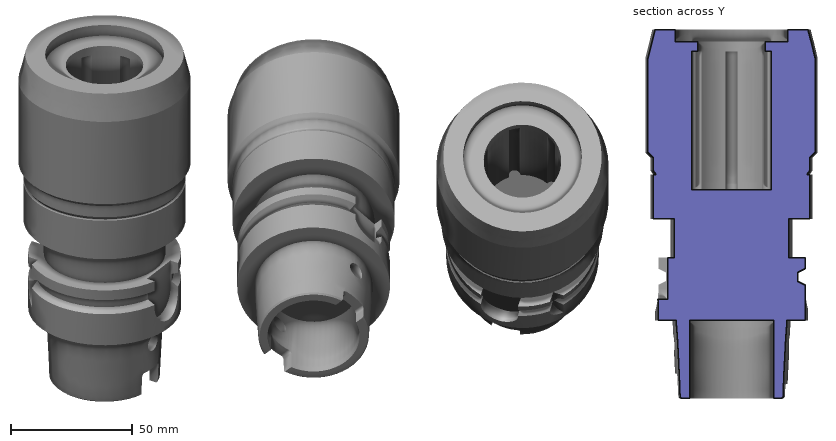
import cadquery as cq

total_length = 152.0
shank_length = 32.0
flange_top = 58.0
body_bottom = 74.0
nut_bottom = 99.3
nose_length = 11.7

nut_diameter = 71.0
nose_diameter = 65.2
body_diameter = 66.9
nut_radius = nut_diameter / 2
body_radius = body_diameter / 2
nut_bottom_chamfer = nut_radius - body_radius
body_groove_z = 92.3
body_groove_width = 1.7
body_groove_depth = 1.2

neck_radius = 25.1
flange_radius = 31.5
v_groove_z = 50.2
v_groove_width = 6.7
v_groove_floor_width = 3.5
v_groove_floor_radius = 28.5

taper_large_radius = 24.3
taper_small_radius = 22.8
shank_end_chamfer = 0.6
shank_bore_radius = 19.0
shank_bore_depth = shank_length

recess_radius = 24.5
recess_depth = 5.0
tool_bore_radius = 16.0
tool_bore_depth = 60.8
flute_count = 6
flute_first_angle = 30.0
flute_radius = 2.5
flute_lip = 4.0

key_end_z = 45.0
key_floor_distance = 26.5
left_key_width = 16.1
right_key_width = 18.0
notch_floor_distance = 19.9
notch_edge_y = -19.9

drive_slot_width = 12.5
drive_slot_corner = 1.4
left_drive_slot_depth = 6.1
right_drive_slot_depth = 10.3
cross_hole_diameter = 7.5
cross_hole_z = 22.8


def outer_profile():
    """Half section of the outside in (radius, Z), to be revolved about Z."""
    v_half = v_groove_width / 2
    v_floor_half = v_groove_floor_width / 2
    return [
        (0, 0),
        (taper_small_radius - shank_end_chamfer, 0),
        (taper_small_radius, shank_end_chamfer),
        (taper_large_radius, shank_length),
        (flange_radius, shank_length),
        (flange_radius, v_groove_z - v_half),
        (v_groove_floor_radius, v_groove_z - v_floor_half),
        (v_groove_floor_radius, v_groove_z + v_floor_half),
        (flange_radius, v_groove_z + v_half),
        (flange_radius, flange_top),
        (neck_radius, flange_top),
        (neck_radius, body_bottom),
        (body_radius, body_bottom),
        (body_radius, body_groove_z),
        (body_radius - body_groove_depth, body_groove_z),
        (body_radius, body_groove_z + body_groove_width),
        (body_radius, nut_bottom),
        (nut_radius, nut_bottom + nut_bottom_chamfer),
        (nut_radius, total_length - nose_length),
        (nose_diameter / 2, total_length),
        (0, total_length),
    ]


def cylinder(radius, z_bottom, z_top):
    """Cylinder on the Z axis."""
    return cq.Workplane("XY").workplane(offset=z_bottom).circle(radius).extrude(z_top - z_bottom)


def tool_bore():
    """Nose recess, blind tool bore and the flutes that start below the bore's lip."""
    recess_floor = total_length - recess_depth
    bore_floor = recess_floor - tool_bore_depth
    flute_length = tool_bore_depth - flute_lip
    flutes = (
        cq.Workplane("XY")
        .workplane(offset=bore_floor)
        .polarArray(tool_bore_radius, flute_first_angle, 360, flute_count)
        .circle(flute_radius)
        .extrude(flute_length)
    )
    bore = cylinder(tool_bore_radius, bore_floor, total_length)
    return cylinder(recess_radius, recess_floor, total_length).union(bore).union(flutes)


def key_slot(side, floor_distance, center_y, width):
    """Round-ended slot running up through the flange top, outward from its flat floor.

    side is -1 for the -X side and +1 for the +X side.
    """
    half = width / 2
    return (
        cq.Workplane("YZ")
        .workplane(offset=side * floor_distance)
        .moveTo(center_y - half, flange_top)
        .lineTo(center_y - half, key_end_z)
        .threePointArc((center_y, key_end_z - half), (center_y + half, key_end_z))
        .lineTo(center_y + half, flange_top)
        .close()
        .extrude(side * flange_radius)
    )


def drive_slot(side, depth):
    """Slot across one wall of the shank end, with rounded inner corners."""
    return (
        cq.Workplane("XY")
        .box(taper_large_radius, drive_slot_width, 2 * depth)
        .edges("|X and >Z")
        .fillet(drive_slot_corner)
        .translate((side * taper_large_radius / 2, 0, 0))
    )


def cross_hole():
    """Hole along X through both walls of the shank."""
    return (
        cq.Workplane("YZ")
        .center(0, cross_hole_z)
        .circle(cross_hole_diameter / 2)
        .extrude(taper_large_radius, both=True)
    )


result = cq.Workplane("XZ").polyline(outer_profile()).close().revolve(360, (0, 0), (0, 1))
result = result.cut(tool_bore())
result = result.cut(cylinder(shank_bore_radius, 0, shank_bore_depth))

result = result.cut(key_slot(-1, key_floor_distance, 0, left_key_width))
result = result.cut(key_slot(1, key_floor_distance, 0, right_key_width))
notch_center_y = notch_edge_y - left_key_width / 2
result = result.cut(key_slot(-1, notch_floor_distance, notch_center_y, left_key_width))

result = result.cut(drive_slot(-1, left_drive_slot_depth))
result = result.cut(drive_slot(1, right_drive_slot_depth))
result = result.cut(cross_hole())